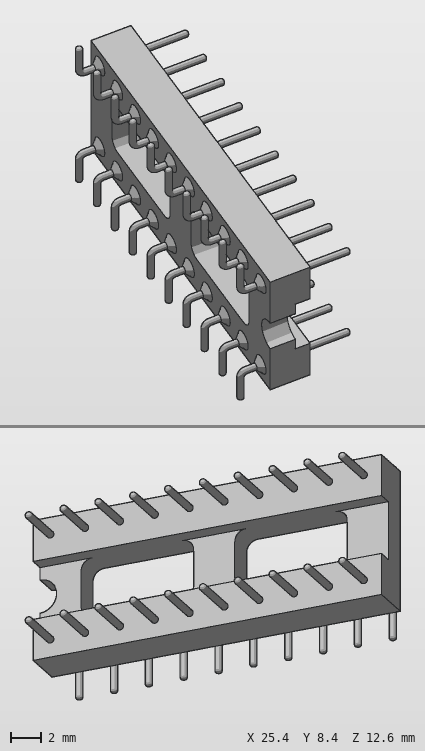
import cadquery as cq

body_length = 25.4
body_height = 10.16
body_depth = 3.0
front_y = 0.0
back_y = front_y + body_depth

wall = 3.0
window_length = (body_length - 3 * wall) / 2
window_height = 4.2
window_radius = 0.8
window_pitch = window_length + wall
channel_depth = 1.1
end_notch_radius = 1.2

pin_count = 10
pin_pitch = 2.54
row_spacing = 3 * pin_pitch
pin_radius = 0.25
tip_fillet = 0.18
bend_radius = 0.42
rear_reach = 3.6
front_reach = 1.8
pin_span_z = 12.6

cone_radius = 0.7
cone_height = 0.43


def make_body():
    body = cq.Workplane("XY").box(body_length, body_depth, body_height)
    body = body.translate((0, front_y + body_depth / 2, 0))

    windows = (
        cq.Workplane("XZ", origin=(0, back_y, 0))
        .pushPoints([(-window_pitch / 2, 0), (window_pitch / 2, 0)])
        .rect(window_length, window_height)
        .extrude(body_depth)
        .edges("|Y")
        .fillet(window_radius)
    )
    channel = cq.Workplane("XY").box(body_length, channel_depth, window_height)
    channel = channel.translate((0, back_y - channel_depth / 2, 0))
    end_notch = (
        cq.Workplane("XZ", origin=(body_length / 2, back_y, 0))
        .circle(end_notch_radius)
        .extrude(body_depth)
    )
    return body.cut(windows).cut(channel).cut(end_notch)


def make_upper_pin():
    """Pin of the upper row at X = 0: straight to the rear, bent upward in front."""
    row_z = row_spacing / 2
    leg_y = front_y - front_reach + pin_radius
    bend_start_y = leg_y + bend_radius
    bend_end_z = row_z + bend_radius

    straight_length = back_y + rear_reach - bend_start_y
    straight = (
        cq.Workplane("XZ", origin=(0, bend_start_y, row_z))
        .circle(pin_radius)
        .extrude(-straight_length)
        .faces(">Y")
        .fillet(tip_fillet)
    )
    bend = (
        cq.Workplane("XZ", origin=(0, bend_start_y, row_z))
        .circle(pin_radius)
        .revolve(90, (1, bend_radius, 0), (-1, bend_radius, 0))
    )
    leg = (
        cq.Workplane("XY", origin=(0, leg_y, bend_end_z))
        .circle(pin_radius)
        .extrude(pin_span_z / 2 - bend_end_z)
        .faces(">Z")
        .fillet(tip_fillet)
    )
    cone = cq.Workplane(
        cq.Solid.makeCone(
            cone_radius,
            pin_radius,
            cone_height,
            pnt=cq.Vector(0, front_y, row_z),
            dir=cq.Vector(0, -1, 0),
        )
    )
    return straight.union(bend).union(leg).union(cone)


def add_pins(body):
    upper_pin = make_upper_pin()
    lower_pin = upper_pin.mirror("XY")
    for index in range(pin_count):
        x = (index - (pin_count - 1) / 2) * pin_pitch
        body = body.union(upper_pin.translate((x, 0, 0)))
        body = body.union(lower_pin.translate((x, 0, 0)))
    return body


result = add_pins(make_body())